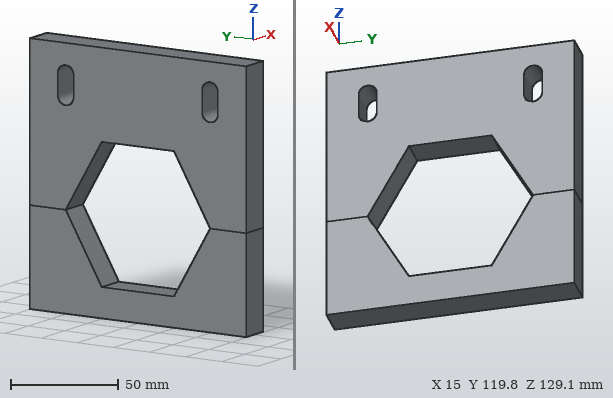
import cadquery as cq
import math

thickness = 15.0
width = 119.8
height = 129.1

hex_corner_diameter = 79.9
hex_apothem = hex_corner_diameter / 2 * math.cos(math.pi / 6)
bottom_wall = thickness

lower_height = hex_apothem + bottom_wall
upper_height = height - lower_height

slot_width = 8.8
slot_length = 19.1
slot_offset = hex_corner_diameter / 2
left_slot_drop = 20.1
right_slot_drop = 19.4


def half_plate(bottom, top):
    """Plate spanning bottom to top in Z, with its share of the hexagonal opening."""
    plate = cq.Workplane("XY").box(thickness, width, top - bottom)
    plate = plate.translate((0, 0, (bottom + top) / 2))
    opening = (
        cq.Workplane("YZ")
        .polygon(6, hex_corner_diameter)
        .extrude(thickness, both=True)
    )
    return plate.cut(opening)


def mounting_slot(y, drop):
    """Cutter for a vertical slot through the plate thickness."""
    return (
        cq.Workplane("YZ")
        .center(y, upper_height - drop)
        .slot2D(slot_length, slot_width, 90)
        .extrude(thickness, both=True)
    )


def make_upper_plate():
    plate = half_plate(0, upper_height)
    for y, drop in ((slot_offset, left_slot_drop), (-slot_offset, right_slot_drop)):
        plate = plate.cut(mounting_slot(y, drop))
    return plate


def make_lower_plate():
    return half_plate(-lower_height, 0)


upper_plate = make_upper_plate()
lower_plate = make_lower_plate()

result = cq.Compound.makeCompound([upper_plate.val(), lower_plate.val()])